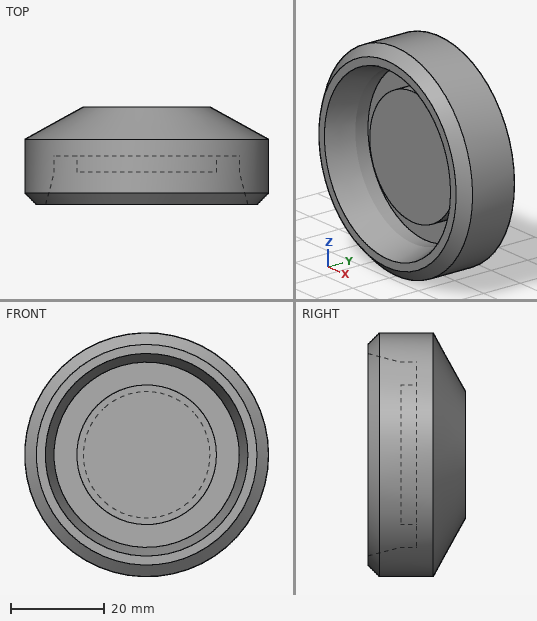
import cadquery as cq

outer_radius = 26.2
thickness = 21.0
rim_chamfer = 2.5
back_taper_depth = 6.95
back_radius = 13.6

mouth_radius = 21.75
well_radius = 19.895
mouth_depth = 7.1
recess_depth = 10.5
boss_radius = 30.0 / 2

front = -thickness / 2
back = thickness / 2
mouth_bottom = front + mouth_depth
recess_floor = front + recess_depth


def revolve_profile(points):
    """Revolve a closed (radius, Y) outline around the Y axis."""
    outline = cq.Workplane("XY").polyline(points).close()
    return outline.revolve(360, (0, 0, 0), (0, 1, 0))


result = revolve_profile([
    (0, mouth_bottom),
    (boss_radius, mouth_bottom),
    (boss_radius, recess_floor),
    (well_radius, recess_floor),
    (well_radius, mouth_bottom),
    (mouth_radius, front),
    (outer_radius - rim_chamfer, front),
    (outer_radius, front + rim_chamfer),
    (outer_radius, back - back_taper_depth),
    (back_radius, back),
    (0, back),
])